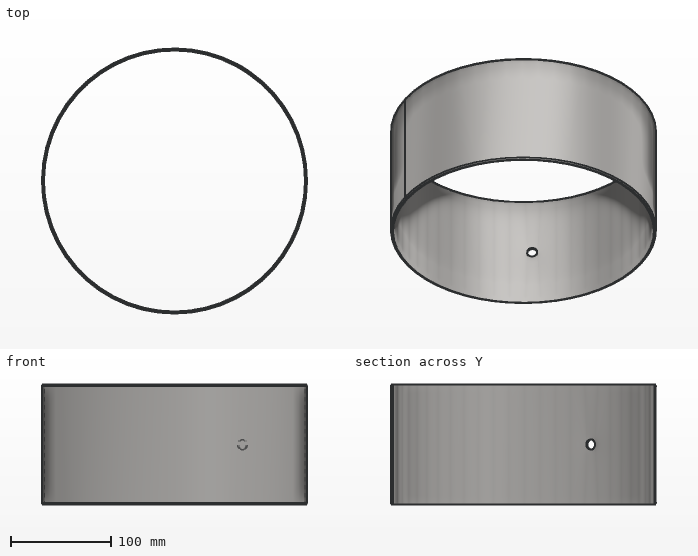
import cadquery as cq

outer_radius = 132.5
wall = 2.5
height = 120.0
bevel_depth = 1.2
bevel_height = 1.72
slit_width = 1.5
slit_center_y = 1.0
hole_diameter = 10.0
hole_angle = 59.0


def make_ring():
    """Thin cylindrical band with steep bevels on its outer top and bottom edges."""
    inner_radius = outer_radius - wall
    rim_radius = outer_radius - bevel_depth
    profile = (
        cq.Workplane("XZ")
        .moveTo(inner_radius, 0)
        .lineTo(rim_radius, 0)
        .lineTo(outer_radius, bevel_height)
        .lineTo(outer_radius, height - bevel_height)
        .lineTo(rim_radius, height)
        .lineTo(inner_radius, height)
        .close()
    )
    return profile.revolve(360, (0, 0, 0), (0, 1, 0))


def make_slit():
    """Box that opens the band along its full height."""
    box = cq.Workplane("XY").box(outer_radius, slit_width, height, centered=(False, True, False))
    return box.translate((-outer_radius, slit_center_y, 0))


def make_radial_hole():
    """Cylinder from the axis out through the wall at mid-height."""
    drill = cq.Workplane("YZ").circle(hole_diameter / 2).extrude(outer_radius + wall)
    drill = drill.translate((0, 0, height / 2))
    return drill.rotate((0, 0, 0), (0, 0, 1), hole_angle)


result = make_ring().cut(make_slit()).cut(make_radial_hole())